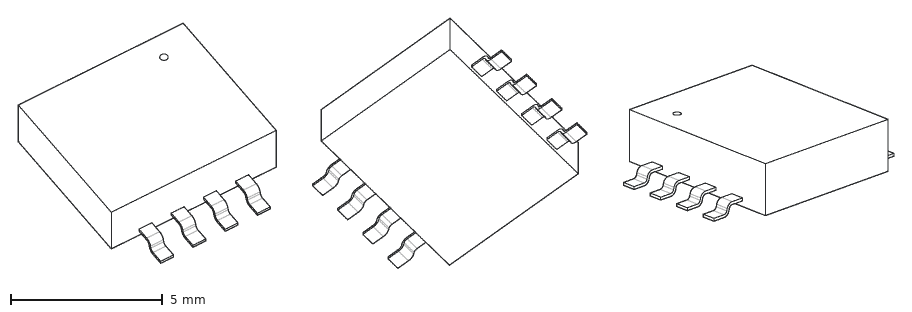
import cadquery as cq
import math

SPAN_X = 8.2
TOTAL_HEIGHT = 2.01

HOUSING_X = 5.59
HOUSING_Y = 6.5
STANDOFF = 0.155
HOUSING_HEIGHT = TOTAL_HEIGHT - STANDOFF

MARKER_DIAMETER = 0.28
MARKER_DEPTH = 0.08
MARKER_FROM_LEFT = 0.89
MARKER_FROM_BACK = 1.345

LEADS_PER_SIDE = 4
LEAD_PITCH = 1.27
LEAD_WIDTH = 0.51
LEAD_THICKNESS = 0.11
LEAD_TOP_Z = 0.47
FOOT_LENGTH = 0.46
BEND_ANGLE = 76.0
BEND_INNER_RADIUS = 0.13
BEND_OUTER_RADIUS = BEND_INNER_RADIUS + LEAD_THICKNESS
LEAD_REACH = (SPAN_X - HOUSING_X) / 2


def make_marker():
    """Disc that fills its own recess in the housing's top face."""
    marker_x = -HOUSING_X / 2 + MARKER_FROM_LEFT
    marker_y = HOUSING_Y / 2 - MARKER_FROM_BACK
    return (
        cq.Workplane("XY", origin=(marker_x, marker_y, TOTAL_HEIGHT - MARKER_DEPTH))
        .circle(MARKER_DIAMETER / 2)
        .extrude(MARKER_DEPTH)
    )


def make_housing(marker):
    """Plain block with a recess that matches the marker."""
    block = cq.Workplane("XY", origin=(0, 0, STANDOFF)).rect(HOUSING_X, HOUSING_Y).extrude(HOUSING_HEIGHT)
    return block.cut(marker)


def make_lead(center_y):
    """Lead on the -X side: foot, rising bend, sloped web, levelling bend and shoulder."""
    angle = math.radians(BEND_ANGLE)
    tip_x = -SPAN_X / 2
    wall_x = tip_x + LEAD_REACH

    rise = LEAD_TOP_Z - LEAD_THICKNESS
    radius_sum = BEND_INNER_RADIUS + BEND_OUTER_RADIUS
    web_length = (rise - radius_sum * (1 - math.cos(angle))) / math.sin(angle)
    bend_run = radius_sum * math.sin(angle) + web_length * math.cos(angle)

    lower_x = tip_x + FOOT_LENGTH
    lower_z = BEND_OUTER_RADIUS
    upper_x = lower_x + bend_run
    upper_z = LEAD_TOP_Z - BEND_OUTER_RADIUS

    def on_lower_bend(radius, turn):
        return (lower_x + radius * math.sin(turn), lower_z - radius * math.cos(turn))

    def on_upper_bend(radius, turn):
        return (upper_x - radius * math.sin(turn), upper_z + radius * math.cos(turn))

    profile = (
        cq.Workplane("XZ", origin=(0, center_y + LEAD_WIDTH / 2, 0))
        .moveTo(tip_x, 0)
        .lineTo(*on_lower_bend(BEND_OUTER_RADIUS, 0))
        .threePointArc(on_lower_bend(BEND_OUTER_RADIUS, angle / 2), on_lower_bend(BEND_OUTER_RADIUS, angle))
        .lineTo(*on_upper_bend(BEND_INNER_RADIUS, angle))
        .threePointArc(on_upper_bend(BEND_INNER_RADIUS, angle / 2), on_upper_bend(BEND_INNER_RADIUS, 0))
        .lineTo(wall_x, LEAD_TOP_Z - LEAD_THICKNESS)
        .lineTo(wall_x, LEAD_TOP_Z)
        .lineTo(*on_upper_bend(BEND_OUTER_RADIUS, 0))
        .threePointArc(on_upper_bend(BEND_OUTER_RADIUS, angle / 2), on_upper_bend(BEND_OUTER_RADIUS, angle))
        .lineTo(*on_lower_bend(BEND_INNER_RADIUS, angle))
        .threePointArc(on_lower_bend(BEND_INNER_RADIUS, angle / 2), on_lower_bend(BEND_INNER_RADIUS, 0))
        .lineTo(tip_x, LEAD_THICKNESS)
        .close()
    )
    return profile.extrude(LEAD_WIDTH)


marker = make_marker()
housing = make_housing(marker)

leads = []
for index in range(LEADS_PER_SIDE):
    row_y = (index - (LEADS_PER_SIDE - 1) / 2) * LEAD_PITCH
    left_lead = make_lead(row_y)
    right_lead = left_lead.mirror("YZ")
    leads += [left_lead.val(), right_lead.val()]

result = cq.Compound.makeCompound([housing.val(), marker.val(), *leads])